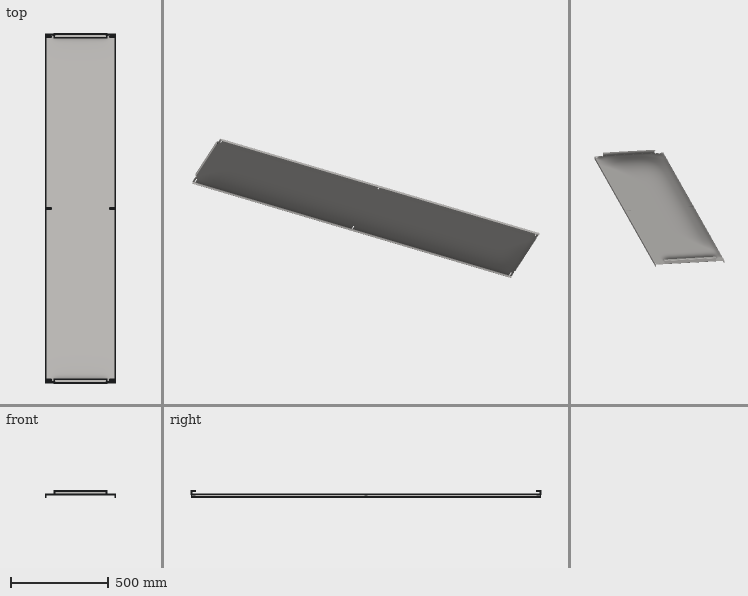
import cadquery as cq

length = 1800.0
width = 360.0
height = 32.0
sheet = 1.5
bend_radius = 2.0

side_drop = 15.0
end_width = 270.0
end_lip = 20.0
end_setback = 2.0
relief_width = 7.0
relief_depth = 5.0

slot_reach = 27.0
slot_width = 5.0
end_slot_inset = 15.0

plate_length = length - 2 * end_setback
plate_top = height - side_drop
end_rise = plate_top + sheet


def box(x_size, y_size, z_size, x=0, y=0, z=0):
    """Box centred in X and Y with its base at z."""
    return cq.Workplane("XY").box(x_size, y_size, z_size, centered=(True, True, False)).translate((x, y, z))


def make_folded_plate():
    """Plate with both long edges folded down; plate top is at z = 0."""
    inner_radius = bend_radius - sheet
    outer = box(width, plate_length, side_drop, z=-side_drop).edges("|Y and >Z").fillet(bend_radius)
    hollow_height = side_drop - sheet
    hollow = box(width - 2 * sheet, plate_length, hollow_height, z=-side_drop)
    return outer.cut(hollow.edges("|Y and >Z").fillet(inner_radius))


def make_end_flange():
    """C-shaped flange at the -Y end, rising from the plate."""
    inner_radius = bend_radius - sheet
    centre_y = (end_lip - length) / 2
    outer = box(end_width, end_lip, end_rise, y=centre_y, z=-sheet)
    outer = outer.edges("|X and <Y").fillet(bend_radius)
    hollow = box(end_width, end_lip - sheet, end_rise - 2 * sheet, y=centre_y + sheet / 2)
    return outer.cut(hollow.edges("|X and <Y").fillet(inner_radius))


def cut_end_opening(body, end):
    """Clear the plate end so the flange bend and its corner reliefs fit."""
    opening_width = end_width + 2 * relief_width
    centre_y = end * (length - relief_depth) / 2
    return body.cut(box(opening_width, relief_depth, sheet, y=centre_y, z=-sheet))


def cut_edge_slots(body):
    """Slots through the plate near both ends and at mid-length, starting at the side bends."""
    end_slot_y = length / 2 - end_slot_inset
    slot_length = slot_reach - bend_radius
    slot_x = width / 2 - bend_radius - slot_length / 2
    for x in (-slot_x, slot_x):
        for y in (-end_slot_y, 0, end_slot_y):
            body = body.cut(box(slot_length, slot_width, sheet, x=x, y=y, z=-sheet))
    return body


panel = make_folded_plate()
for end in (-1, 1):
    panel = cut_end_opening(panel, end)
panel = cut_edge_slots(panel)
front_flange = make_end_flange()
result = panel.union(front_flange).union(front_flange.mirror("XZ"))